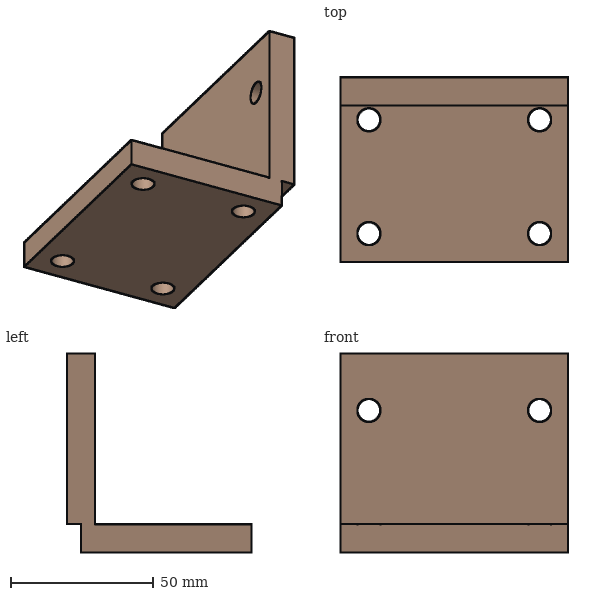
import cadquery as cq

width = 80.0
plate_thickness = 10.0
base_depth = 60.0
wall_height = 60.0
wall_overhang = 5.0
hole_diameter = 8.0
hole_edge_distance = 10.0
wall_hole_drop = 20.0

overall_depth = base_depth + wall_overhang
overall_height = plate_thickness + wall_height
wall_front = overall_depth - plate_thickness
hole_offset_x = width / 2 - hole_edge_distance
hole_columns = (-hole_offset_x, hole_offset_x)
base_hole_rows = (hole_edge_distance, base_depth - hole_edge_distance)
wall_hole_z = overall_height - wall_hole_drop


def make_plate(depth, height, front, bottom):
    """Full-width rectangular plate with its front lower edge at Y = front, Z = bottom."""
    plate = cq.Workplane("XY").box(width, depth, height, centered=(True, False, False))
    return plate.translate((0, front, bottom))


def make_hole(start, direction):
    """Round cutter as long as a plate is thick."""
    cutter = cq.Solid.makeCylinder(
        hole_diameter / 2, plate_thickness, cq.Vector(*start), cq.Vector(*direction)
    )
    return cq.Workplane(obj=cutter)


base = make_plate(base_depth, plate_thickness, 0, 0)
wall = make_plate(plate_thickness, wall_height, wall_front, plate_thickness)

for x in hole_columns:
    for y in base_hole_rows:
        base = base.cut(make_hole((x, y, 0), (0, 0, 1)))
    wall = wall.cut(make_hole((x, wall_front, wall_hole_z), (0, 1, 0)))

result = base.union(wall)